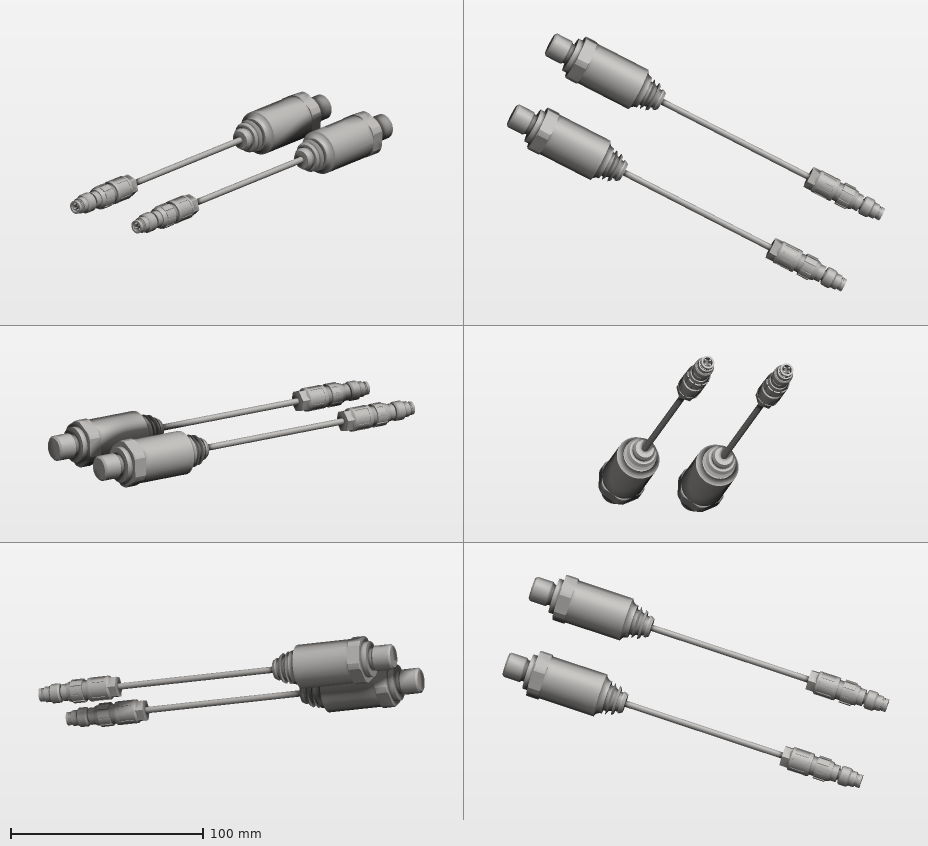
import cadquery as cq
import math

OVERALL_LENGTH = 195.0
SENSOR_SPACING = 42.5
TOP_Y = OVERALL_LENGTH / 2

THREAD_RADIUS = 6.6
THREAD_CHAMFER = 1.0
THREAD_END = 10.5
RELIEF_RADIUS = 5.7
RELIEF_END = 12.0
COLLAR_RADIUS = 9.4
COLLAR_END = 15.0
HEX_FLATS = 23.0
HEX_ROUND_RADIUS = 12.5
HEX_CHAMFER = 0.4
HEX_END = 21.8
HEX_TURN = 2.5
TUBE_RADIUS = 11.5
TUBE_END = 49.0

CAP_BAND_END = 51.9
CAP_FLANGE_RADIUS = 8.8
CAP_FLANGE_END = 55.4
NECK_1_RADIUS = 6.8
RING_1_START = 57.3
RING_1_RADIUS = 8.5
RING_1_END = 58.5
NECK_2_RADIUS = 5.7
NECK_2_START_RADIUS = 6.5
RING_2_START = 60.3
RING_2_RADIUS = 8.0
RING_2_END = 61.5
RING_2_END_RADIUS = 7.0
NECK_3_START_RADIUS = 5.5
NECK_3_RADIUS = 5.0
CAP_COLLAR_START = 63.2
CAP_COLLAR_RADIUS = 5.9
CAP_COLLAR_TAPER_START = 64.0
CAP_END_RADIUS = 4.9
CAP_END = 65.5

CABLE_RADIUS = 1.65

NUT_START = 152.0
NUT_HEX_CORNER_RADIUS = 5.9
NUT_CONE_START = 155.5
NUT_CONE_RADIUS = 4.9
NUT_HEX_END = 156.6
NUT_HEX_ANGLE = 45.0
SLEEVE_RADIUS = 6.2
SLEEVE_TAPER_DEPTH = 0.2
SLEEVE_TAPER_LENGTH = 1.2
SLEEVE_END = 167.7
GRIP_START = 158.0
GRIP_END = 165.5
GRIP_COUNT = 8
GRIP_ANGLE = 42.5
GRIP_WIDTH = 35.0
GRIP_DEPTH = 0.3

NECK_RADIUS = 5.0
GRIP_BLOCK_START = 170.5
GRIP_BLOCK_END = 176.7
GRIP_CORE_RADIUS = 5.7
GRIP_CONE_END = 179.0
PANEL_RADIUS = 6.2
PANEL_COUNT = 7
PANEL_PITCH = 40.0
PANEL_WIDTH = 31.0
PAD_ANGLE = 125.0
PAD_RADIUS = 6.0
PAD_WIDTH = 59.0
PAD_BEVEL_START = 175.5
PAD_END = 178.0
PAD_END_RADIUS = 5.5
PAD_SLOT_START = 171.6
PAD_SLOT_END = 174.7
PAD_SLOT_WIDTH = 1.0
PAD_SLOT_DEPTH = 0.4
SHOULDER_RADIUS = 4.5
SHOULDER_END = 182.3
WAIST_RADIUS = 3.0
RING_START = 183.3
RING_RADIUS = 5.0
RING_CHAMFER = 0.8
RING_END = 189.0
NOSE_RADIUS = 4.0
NOSE_END = 191.9
TIP_RADIUS = 3.5
TIP_GROOVE_RADIUS = 3.1
TIP_GROOVE_WIDTH = 0.4
TIP_GROOVE_STARTS = (192.3, 193.0)
SOCKET_RADIUS = 2.5
SOCKET_DEPTH = 3.0
PIN_COUNT = 4
PIN_ANGLE = 45.0
PIN_RADIUS = 0.49
PIN_CIRCLE_RADIUS = 1.8
PIN_RECESS = 0.2


def turned(profile, sweep=360.0):
    """Revolve (station, radius) points about the sensor axis, closing the profile on the axis."""
    outline = [(0, profile[0][0]), *[(radius, station) for station, radius in profile], (0, profile[-1][0])]
    points = [(radius, TOP_Y - station) for radius, station in outline]
    return cq.Workplane("XY").polyline(points).close().revolve(sweep, (0, 0), (0, 1))


def turn(body, angle):
    """Rotate about the sensor axis; positive angles go from +X toward +Z."""
    return body.rotate((0, 0, 0), (0, 1, 0), -angle)


def sector(profile, centre_angle, width):
    """Part of a turned shape, width degrees wide about centre_angle."""
    wedge = turned(profile, width)
    return turn(wedge, centre_angle + width / 2)


def prism(start, end):
    """Workplane at a station whose extrusion runs toward -Y, with the length to extrude."""
    return cq.Workplane("XZ", origin=(0, TOP_Y - start, 0)), end - start


def hex_prism(start, end, corner_radius, corner_angle):
    plane, length = prism(start, end)
    return turn(plane.polygon(6, 2 * corner_radius).extrude(length), corner_angle)


def make_housing():
    body = turned([
        (0, THREAD_RADIUS - THREAD_CHAMFER),
        (THREAD_CHAMFER, THREAD_RADIUS),
        (THREAD_END - THREAD_CHAMFER, THREAD_RADIUS),
        (THREAD_END, RELIEF_RADIUS),
        (RELIEF_END, RELIEF_RADIUS),
        (RELIEF_END, COLLAR_RADIUS),
        (COLLAR_END, COLLAR_RADIUS),
        (COLLAR_END, TUBE_RADIUS),
        (TUBE_END, TUBE_RADIUS),
    ])
    hex_corner_radius = HEX_FLATS / math.sqrt(3)
    hexagon = hex_prism(COLLAR_END, HEX_END, hex_corner_radius, 90 - HEX_TURN)
    rounding = turned([
        (COLLAR_END, HEX_ROUND_RADIUS - HEX_CHAMFER),
        (COLLAR_END + HEX_CHAMFER, HEX_ROUND_RADIUS),
        (HEX_END - HEX_CHAMFER, HEX_ROUND_RADIUS),
        (HEX_END, HEX_ROUND_RADIUS - HEX_CHAMFER),
    ])
    return body.union(hexagon.intersect(rounding))


def make_end_cap():
    flare_length = CAP_FLANGE_END - CAP_BAND_END
    flare_drop = TUBE_RADIUS - CAP_FLANGE_RADIUS
    flare_radius = (flare_length ** 2 + flare_drop ** 2) / (2 * flare_drop)
    flange_y = TOP_Y - CAP_FLANGE_END
    flared_band = (
        cq.Workplane("XY")
        .moveTo(0, TOP_Y - TUBE_END)
        .lineTo(TUBE_RADIUS, TOP_Y - TUBE_END)
        .lineTo(TUBE_RADIUS, TOP_Y - CAP_BAND_END)
        .radiusArc((CAP_FLANGE_RADIUS, flange_y), -flare_radius)
        .lineTo(0, flange_y)
        .close()
        .revolve(360, (0, 0), (0, 1))
    )
    strain_relief = turned([
        (CAP_FLANGE_END, NECK_1_RADIUS),
        (RING_1_START, NECK_1_RADIUS),
        (RING_1_START, RING_1_RADIUS),
        (RING_1_END, NECK_2_START_RADIUS),
        (RING_2_START, NECK_2_RADIUS),
        (RING_2_START, RING_2_RADIUS),
        (RING_2_END, RING_2_END_RADIUS),
        (RING_2_END, NECK_3_START_RADIUS),
        (CAP_COLLAR_START, NECK_3_RADIUS),
        (CAP_COLLAR_START, CAP_COLLAR_RADIUS),
        (CAP_COLLAR_TAPER_START, CAP_COLLAR_RADIUS),
        (CAP_END, CAP_END_RADIUS),
    ])
    return flared_band.union(strain_relief)


def make_cable():
    plane, length = prism(CAP_END, NUT_START)
    return plane.circle(CABLE_RADIUS).extrude(length)


def make_gland_nut():
    nut = turned([
        (NUT_CONE_START, NUT_CONE_RADIUS),
        (NUT_HEX_END, SLEEVE_RADIUS),
        (SLEEVE_END - SLEEVE_TAPER_LENGTH, SLEEVE_RADIUS),
        (SLEEVE_END, SLEEVE_RADIUS - SLEEVE_TAPER_DEPTH),
    ])
    nut = nut.union(hex_prism(NUT_START, NUT_HEX_END, NUT_HEX_CORNER_RADIUS, NUT_HEX_ANGLE))
    plane, length = prism(GRIP_START, GRIP_END)
    floor = plane.circle(SLEEVE_RADIUS - GRIP_DEPTH).extrude(length)
    wedge = [(GRIP_START, SLEEVE_RADIUS + GRIP_DEPTH), (GRIP_END, SLEEVE_RADIUS + GRIP_DEPTH)]
    for index in range(GRIP_COUNT):
        pocket = sector(wedge, GRIP_ANGLE + index * 360 / GRIP_COUNT, GRIP_WIDTH).cut(floor)
        nut = nut.cut(pocket)
    return nut


def add_grip_panels(plug):
    """One wide bevelled pad with a slot, and narrow raised panels around the rest."""
    pad = [
        (GRIP_BLOCK_START, PAD_RADIUS),
        (PAD_BEVEL_START, PAD_RADIUS),
        (PAD_END, PAD_END_RADIUS),
    ]
    plug = plug.union(sector(pad, PAD_ANGLE, PAD_WIDTH))
    panel = [(GRIP_BLOCK_START, PANEL_RADIUS), (GRIP_BLOCK_END, PANEL_RADIUS)]
    first_panel_angle = PAD_ANGLE + 1.5 * PANEL_PITCH
    for index in range(PANEL_COUNT):
        plug = plug.union(sector(panel, first_panel_angle + index * PANEL_PITCH, PANEL_WIDTH))
    plane, length = prism(PAD_SLOT_START, PAD_SLOT_END)
    slot = plane.center(PAD_RADIUS, 0).rect(2 * PAD_SLOT_DEPTH, PAD_SLOT_WIDTH).extrude(length)
    return plug.cut(turn(slot, PAD_ANGLE))


def cut_tip_grooves(plug):
    for start in TIP_GROOVE_STARTS:
        plane, length = prism(start, start + TIP_GROOVE_WIDTH)
        plug = plug.cut(plane.circle(NOSE_RADIUS).circle(TIP_GROOVE_RADIUS).extrude(length))
    return plug


def add_contacts(plug):
    """Hollow out the tip and stand the contact pins on the socket floor."""
    socket_floor = OVERALL_LENGTH - SOCKET_DEPTH
    plane, length = prism(socket_floor, OVERALL_LENGTH)
    plug = plug.cut(plane.circle(SOCKET_RADIUS).extrude(length))
    plane, length = prism(socket_floor, OVERALL_LENGTH - PIN_RECESS)
    pins = plane.polarArray(PIN_CIRCLE_RADIUS, PIN_ANGLE, 360, PIN_COUNT).circle(PIN_RADIUS).extrude(length)
    return plug.union(pins)


def make_plug():
    plug = turned([
        (SLEEVE_END, NECK_RADIUS),
        (GRIP_BLOCK_START, NECK_RADIUS),
        (GRIP_BLOCK_START, GRIP_CORE_RADIUS),
        (GRIP_BLOCK_END, GRIP_CORE_RADIUS),
        (GRIP_CONE_END, NECK_RADIUS),
        (GRIP_CONE_END, SHOULDER_RADIUS),
        (SHOULDER_END, SHOULDER_RADIUS),
        (SHOULDER_END, WAIST_RADIUS),
        (RING_START, WAIST_RADIUS),
        (RING_START, RING_RADIUS - RING_CHAMFER),
        (RING_START + RING_CHAMFER, RING_RADIUS),
        (RING_END - RING_CHAMFER, RING_RADIUS),
        (RING_END, RING_RADIUS - RING_CHAMFER),
        (RING_END, NOSE_RADIUS),
        (NOSE_END, NOSE_RADIUS),
        (NOSE_END, TIP_RADIUS),
        (OVERALL_LENGTH, TIP_RADIUS),
    ])
    plug = add_grip_panels(plug)
    plug = cut_tip_grooves(plug)
    return add_contacts(plug)


solids = []
for make_body in (make_housing, make_end_cap, make_cable, make_gland_nut, make_plug):
    body = make_body()
    for side in (-1, 1):
        solids.append(body.translate((side * SENSOR_SPACING / 2, 0, 0)).solids().val())

result = cq.Compound.makeCompound(solids)